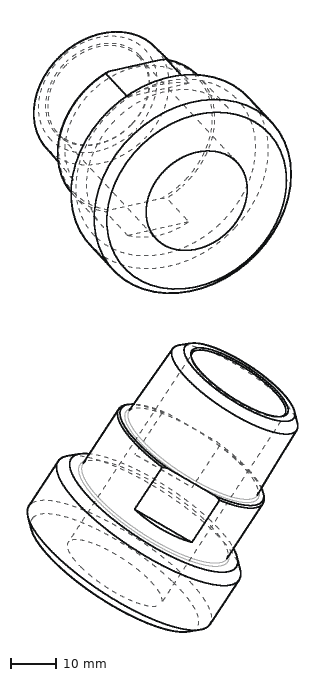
import cadquery as cq

total_length = 52.5
collar_start = 20.0
flange_start = 36.0
flat_end = 32.0

bore_diameter = 24.5
collar_diameter = 38.0
flange_diameter = 47.7
spigot_tip_diameter = 32.6
spigot_taper = 1 / 16

tip_chamfer = 2.0
flange_chamfer = 2.1
collar_chamfer = 0.4
bore_chamfer = 0.35
root_fillet = 0.5

across_flats = 35.0
flat_runout = 0.4


def spigot_radius(x):
    """Radius of the tapered spigot at distance x from its tip."""
    return (spigot_tip_diameter + spigot_taper * x) / 2


def make_body():
    """Revolve the stepped outline, with its concave root fillets, about X."""
    bore_radius = bore_diameter / 2
    collar_radius = collar_diameter / 2
    flange_radius = flange_diameter / 2
    spigot_root_x = collar_start - root_fillet
    spigot_root_radius = spigot_radius(spigot_root_x)
    collar_root_x = flange_start - root_fillet

    outline = (
        cq.Workplane("XY")
        .moveTo(0, bore_radius + bore_chamfer)
        .lineTo(0, spigot_radius(tip_chamfer) - tip_chamfer)
        .lineTo(tip_chamfer, spigot_radius(tip_chamfer))
        .lineTo(spigot_root_x, spigot_root_radius)
        .radiusArc((collar_start, spigot_root_radius + root_fillet), -root_fillet)
        .lineTo(collar_start, collar_radius - collar_chamfer)
        .lineTo(collar_start + collar_chamfer, collar_radius)
        .lineTo(collar_root_x, collar_radius)
        .radiusArc((flange_start, collar_radius + root_fillet), -root_fillet)
        .lineTo(flange_start, flange_radius - flange_chamfer)
        .lineTo(flange_start + flange_chamfer, flange_radius)
        .lineTo(total_length - flange_chamfer, flange_radius)
        .lineTo(total_length, flange_radius - flange_chamfer)
        .lineTo(total_length, bore_radius)
        .lineTo(bore_chamfer, bore_radius)
        .close()
    )
    return outline.revolve(360, (0, 0, 0), (1, 0, 0))


def make_flat_cutter():
    """Prism that removes the collar above the upper wrench flat."""
    flat_height = across_flats / 2
    collar_top = collar_diameter / 2
    return (
        cq.Workplane("XZ")
        .moveTo(collar_start, flat_height)
        .lineTo(flat_end, flat_height)
        .lineTo(flat_end + flat_runout, collar_top)
        .lineTo(collar_start, collar_top)
        .close()
        .extrude(collar_diameter / 2, both=True)
    )


upper_flat = make_flat_cutter()
lower_flat = upper_flat.mirror("XY")
result = make_body().cut(upper_flat).cut(lower_flat)